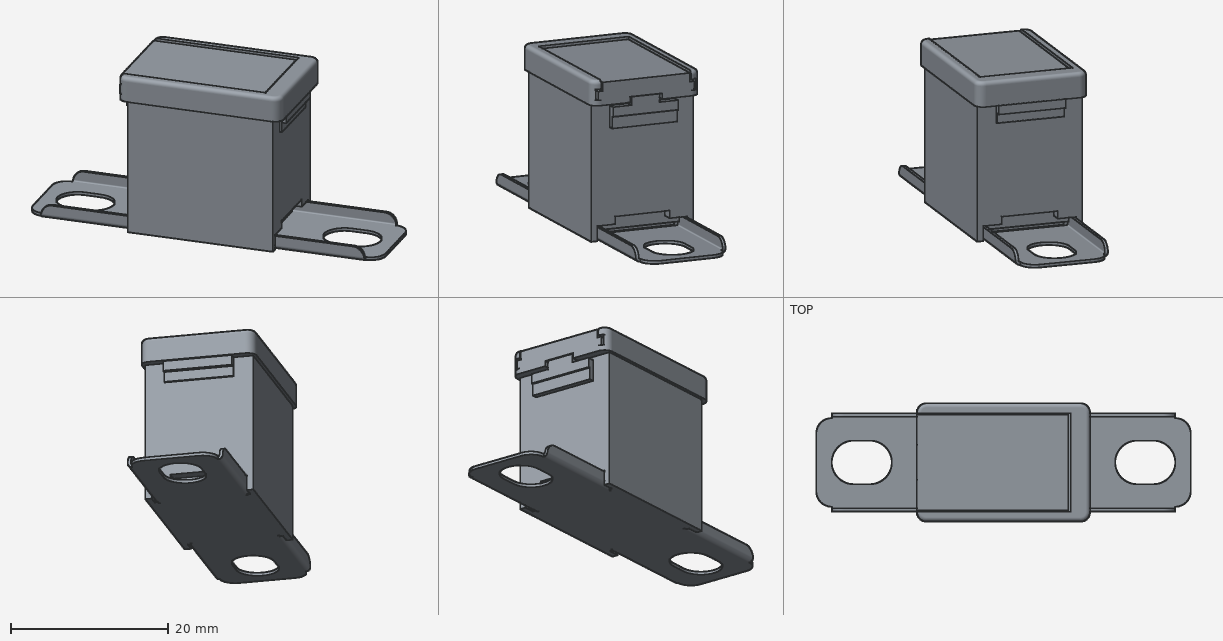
import cadquery as cq

TOTAL_HEIGHT = 21.35

BODY_LENGTH = 19.6
BODY_WIDTH = 14.2

CAP_LENGTH = 22.0
CAP_WIDTH = 15.05
CAP_HEIGHT = 3.3
CAP_CORNER_RADIUS = 1.2
CAP_TOP_FILLET = 0.55

CHANNEL_END_X = 8.52
CHANNEL_LIP_DEPTH = 1.15
CHANNEL_LIP_WIDTH = 12.48
CHANNEL_WING_WIDTH = 13.9
WINDOW_GAP = 0.28
PANE_WIDTH = 12.15
WING_FLOOR_DEPTH = 2.58

LATCH_TAB_WIDTH = 3.88
LATCH_WIDTH = 9.04
LATCH_TOP_Z = 17.62
LATCH_STEP_Z = 16.33
LATCH_BOTTOM_Z = 14.75
LATCH_UPPER_REACH = 1.0
LATCH_LOWER_REACH = 0.72

CATCH_UPPER_REACH = 0.87
CATCH_UPPER_BOTTOM_Z = 16.78
CATCH_LOWER_REACH = 0.3
CATCH_LOWER_BOTTOM_Z = 15.48

TERMINAL_SPAN = 47.6
TERMINAL_WIDTH = 12.5
SHEET = 0.42
BEND_RADIUS = 0.6
FLANGE_HEIGHT = 1.86
FLANGE_CORNER_RADIUS = 1.5
TIP_RADIUS = 2.0
HOLE_LENGTH = 7.6
HOLE_WIDTH = 5.5
HOLE_CENTRE_X = 18.0

OPENING_DEPTH = 1.6
OPENING_LOW_HEIGHT = 2.0
OPENING_HIGH_HEIGHT = 3.0
OPENING_HIGH_WIDTH = 7.6
UNDERCUT_DEPTH = 0.4
UNDERCUT_HEIGHT = 1.0
STRIP_WIDTH = 10.46
STRIP_BOTTOM_Z = 0.58
STRIP_REACH = 0.2

BODY_END_X = BODY_LENGTH / 2
CAP_END_X = CAP_LENGTH / 2
CAP_BOTTOM_Z = TOTAL_HEIGHT - CAP_HEIGHT
WING_FLOOR_Z = TOTAL_HEIGHT - WING_FLOOR_DEPTH
CHANNEL_BASE_WIDTH = CAP_WIDTH - 2 * CAP_CORNER_RADIUS
CHANNEL_LIP_Z = TOTAL_HEIGHT - CHANNEL_LIP_DEPTH
OPENING_FLOOR_X = BODY_END_X - OPENING_DEPTH
TERMINAL_ROOT_X = OPENING_FLOOR_X - UNDERCUT_DEPTH
TERMINAL_END_X = TERMINAL_SPAN / 2
FLANGE_END_X = TERMINAL_END_X - TIP_RADIUS
TERMINAL_INNER_WIDTH = TERMINAL_WIDTH - 2 * SHEET
PLATE_WIDTH = TERMINAL_WIDTH - 2 * BEND_RADIUS


def block(x_start, x_end, width, z_bottom, z_top):
    """Box centred on Y, given by its X range, Y width and Z range."""
    return cq.Workplane("XY").box(
        x_end - x_start, width, z_top - z_bottom, centered=(False, True, False)
    ).translate((x_start, 0, z_bottom))


def make_cap():
    """Rounded cap with the T-shaped channel open towards -X."""
    cap = block(-CAP_END_X, CAP_END_X, CAP_WIDTH, CAP_BOTTOM_Z, TOTAL_HEIGHT)
    cap = cap.edges("|Z").fillet(CAP_CORNER_RADIUS)
    cap = cap.faces(">Z").edges().fillet(CAP_TOP_FILLET)
    throat = block(-CAP_END_X, CHANNEL_END_X, CHANNEL_LIP_WIDTH, CHANNEL_LIP_Z, TOTAL_HEIGHT)
    wings = block(-CAP_END_X, CHANNEL_END_X, CHANNEL_WING_WIDTH, WING_FLOOR_Z, CHANNEL_LIP_Z)
    base = block(-CAP_END_X, CHANNEL_END_X, CHANNEL_BASE_WIDTH, CAP_BOTTOM_Z, WING_FLOOR_Z)
    return cap.cut(throat).cut(wings).cut(base)


def make_window():
    """T-shaped window in the cap channel, notched below for the latch tab."""
    end_x = CHANNEL_END_X - WINDOW_GAP
    wing_width = CHANNEL_WING_WIDTH - 2 * WINDOW_GAP
    pane = block(-CAP_END_X, end_x, PANE_WIDTH, WING_FLOOR_Z, TOTAL_HEIGHT - WINDOW_GAP)
    wings = block(-CAP_END_X, end_x, wing_width, WING_FLOOR_Z, CHANNEL_LIP_Z - WINDOW_GAP)
    base = block(-CAP_END_X, CHANNEL_END_X, CHANNEL_BASE_WIDTH, CAP_BOTTOM_Z, WING_FLOOR_Z)
    notch_width = LATCH_TAB_WIDTH + 2 * WINDOW_GAP
    notch = block(-CAP_END_X, -BODY_END_X, notch_width, CAP_BOTTOM_Z, WING_FLOOR_Z)
    return base.cut(notch).union(pane).union(wings)


def make_latch():
    """Stepped latch on the -X face with a narrow tab reaching into the window notch."""
    upper_x = -BODY_END_X - LATCH_UPPER_REACH
    lower_x = -BODY_END_X - LATCH_LOWER_REACH
    tab = block(upper_x, -BODY_END_X, LATCH_TAB_WIDTH, LATCH_TOP_Z, WING_FLOOR_Z)
    upper = block(upper_x, -BODY_END_X, LATCH_WIDTH, LATCH_STEP_Z, LATCH_TOP_Z)
    lower = block(lower_x, -BODY_END_X, LATCH_WIDTH, LATCH_BOTTOM_Z, LATCH_STEP_Z)
    return tab.union(upper).union(lower)


def make_catch():
    """Two-step catch below the cap on the +X face."""
    upper_x = BODY_END_X + CATCH_UPPER_REACH
    lower_x = BODY_END_X + CATCH_LOWER_REACH
    upper = block(BODY_END_X, upper_x, LATCH_WIDTH, CATCH_UPPER_BOTTOM_Z, CAP_BOTTOM_Z)
    lower = block(BODY_END_X, lower_x, LATCH_WIDTH, CATCH_LOWER_BOTTOM_Z, CATCH_UPPER_BOTTOM_Z)
    return upper.union(lower)


def make_opening():
    """Stepped recess in the +X body face, undercut at the bottom around a strip end."""
    low = block(OPENING_FLOOR_X, BODY_END_X, TERMINAL_WIDTH, 0, OPENING_LOW_HEIGHT)
    high = block(OPENING_FLOOR_X, BODY_END_X, OPENING_HIGH_WIDTH, 0, OPENING_HIGH_HEIGHT)
    undercut = block(TERMINAL_ROOT_X, OPENING_FLOOR_X, TERMINAL_INNER_WIDTH, 0, UNDERCUT_HEIGHT)
    strip_end_x = TERMINAL_ROOT_X + STRIP_REACH
    strip = block(TERMINAL_ROOT_X, strip_end_x, STRIP_WIDTH, STRIP_BOTTOM_Z, UNDERCUT_HEIGHT)
    return low.union(high).union(undercut).cut(strip)


def make_terminal():
    """Terminal on the +X side: flanged channel, flat rounded tip and slotted hole."""
    outer = block(TERMINAL_ROOT_X, FLANGE_END_X, TERMINAL_WIDTH, 0, FLANGE_HEIGHT)
    outer = outer.faces("<Z").edges("|X").fillet(BEND_RADIUS)
    inner = block(TERMINAL_ROOT_X, FLANGE_END_X, TERMINAL_INNER_WIDTH, SHEET, FLANGE_HEIGHT)
    inner = inner.faces("<Z").edges("|X").fillet(BEND_RADIUS - SHEET)
    side_outline = block(TERMINAL_ROOT_X, FLANGE_END_X, TERMINAL_WIDTH, 0, FLANGE_HEIGHT)
    side_outline = side_outline.edges(">X and >Z").fillet(FLANGE_CORNER_RADIUS)
    channel = outer.cut(inner).intersect(side_outline)

    plate = block(TERMINAL_ROOT_X, TERMINAL_END_X, PLATE_WIDTH, 0, SHEET)
    plate = plate.edges("|Z and >X").fillet(TIP_RADIUS)
    hole = cq.Workplane("XY").center(HOLE_CENTRE_X, 0).slot2D(HOLE_LENGTH, HOLE_WIDTH).extrude(SHEET)
    return channel.union(plate).cut(hole)


result = block(-BODY_END_X, BODY_END_X, BODY_WIDTH, 0, CAP_BOTTOM_Z)
opening = make_opening()
terminal = make_terminal()
for end_opening, end_terminal in (
    (opening, terminal),
    (opening.mirror("YZ"), terminal.mirror("YZ")),
):
    result = result.cut(end_opening).union(end_terminal)
for feature in (make_cap(), make_window(), make_latch(), make_catch()):
    result = result.union(feature)